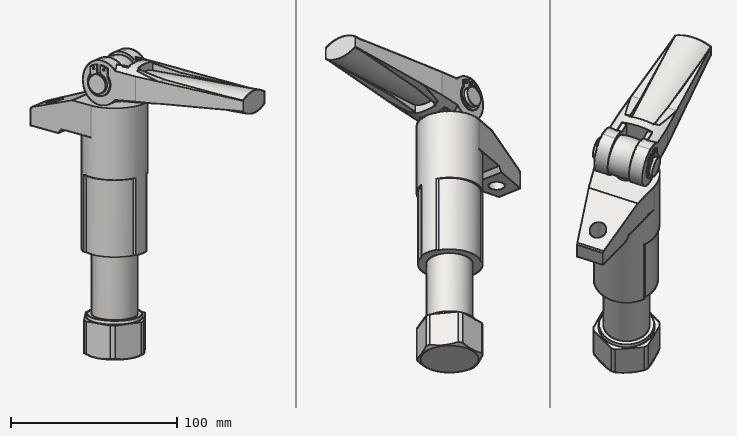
import cadquery as cq
import math


sleeve_radius = 20.0
sleeve_bottom = -93.3
nose_x = -55.0
nose_half_width = 8.5
nose_bottom = -23.0
nose_top = -11.7
nose_edge_chamfer = 0.8
arm_bottom = -20.0
heel_start_x = -31.7
heel_end_x = -29.0
nose_hole_x = -43.0
nose_hole_diameter = 10.0

relief_top = -45.0
relief_radius = 19.1
relief_axis_angle = -71.0
relief_wall_y = -16.4
relief_wall_angle = 109.0
relief_reach = 30.0

cam_radius = 14.0
cam_reduced_radius = 12.7
lever_half_width = 15.7
slot_half_width = 7.0
slot_end_x = 16.0
pivot_z = cam_radius

arm_start_x = 8.0
arm_bend_x = 25.2
lever_end_x = 100.0
lever_end_half_width = 11.75
crown_radius = 35.0
crown_height_at_pivot = 13.45
crown_slope = 0.08
facet_start_x = 23.3
facet_start_height = 9.9
facet_bend_x = 41.3
facet_bend_height = 6.9
facet_end_height = 3.3
ledge_half_width = 10.0
ledge_height = 10.5

grip_start_x = 22.1
grip_start_half_width = 8.0
grip_height = 7.0
grip_radius = 22.7

pin_radius = 6.1
pin_half_length = 19.5
eye_radius = 12.7
eye_edge_radius = 12.1
stem_radius = 6.2
rod_radius = 14.0
nut_bottom = -158.0
nut_top = -136.0
nut_across_flats = 36.0
nut_corner_radius = 20.0
nut_bottom_radius = 17.4
nut_chamfer_angle = 30.0
collar_top = -134.0
collar_base_radius = 17.0
collar_top_radius = 16.5

ring_radius = 7.9
ring_thickness = 1.1
ring_gap_half_width = 1.2
ear_half_width = 6.0
ear_reach = 11.6
ear_hole_x = 3.6
ear_hole_height = 9.0
ear_hole_diameter = 1.2
front_ring_face = -16.5
back_ring_face = lever_half_width


def slab(outline, y_from, y_to):
    """Extrude an outline drawn in XZ between two Y positions."""
    return outline.extrude(y_to - y_from).translate((0, y_to, 0))


def cylinder_y(radius, y_from, y_to):
    """Cylinder around the pivot axis."""
    return slab(cq.Workplane("XZ").center(0, pivot_z).circle(radius), y_from, y_to)


def cylinder_z(radius, z_from, z_to):
    return cq.Workplane("XY").workplane(offset=z_from).circle(radius).extrude(z_to - z_from)


def both_sides(points):
    """Close a half outline given above the X axis with its mirror image below."""
    return points + [(x, -y) for x, y in reversed(points)]


def hook_arm():
    corner_distance = math.hypot(nose_x, nose_half_width)
    tangent_angle = math.atan2(nose_half_width, nose_x) - math.acos(sleeve_radius / corner_distance)
    tangent_x = sleeve_radius * math.cos(tangent_angle)
    tangent_y = sleeve_radius * math.sin(tangent_angle)
    plan = cq.Workplane("XY").workplane(offset=nose_bottom)
    plan = plan.polyline(both_sides([(nose_x, nose_half_width), (tangent_x, tangent_y)])).close()
    plan = plan.extrude(-nose_bottom)

    top_slope = nose_top / (nose_x + sleeve_radius)
    nose_inner_x = nose_x + nose_edge_chamfer
    side = cq.Workplane("XZ").polyline([
        (tangent_x, 0),
        (-sleeve_radius, 0),
        (nose_inner_x, top_slope * (nose_inner_x + sleeve_radius)),
        (nose_x, nose_top - nose_edge_chamfer),
        (nose_x, nose_bottom),
        (heel_start_x, nose_bottom),
        (heel_end_x, arm_bottom),
        (tangent_x, arm_bottom),
    ]).close()
    return plan.intersect(slab(side, -sleeve_radius, sleeve_radius))


def sleeve_relief():
    """Shallow relief on the -Y side, bounded by two walls leaning away from its axis."""
    axis = math.radians(relief_axis_angle)
    lean = math.radians(relief_wall_angle)
    apex_distance = relief_wall_y / math.sin(axis)
    apex = (apex_distance * math.cos(axis), relief_wall_y)

    def from_apex(angle):
        return (apex[0] + relief_reach * math.cos(angle), apex[1] + relief_reach * math.sin(angle))

    corner_swing = lean / 2
    outline = [
        apex,
        from_apex(axis - lean),
        from_apex(axis - corner_swing),
        from_apex(axis + corner_swing),
        from_apex(axis + lean),
    ]
    height = relief_top - sleeve_bottom
    sector = cq.Workplane("XY").workplane(offset=sleeve_bottom).polyline(outline).close().extrude(height)
    return sector.cut(cylinder_z(relief_radius, sleeve_bottom, relief_top))


def make_hook():
    body = cylinder_z(sleeve_radius, sleeve_bottom, 0).union(hook_arm())
    relief = sleeve_relief()
    body = body.cut(relief).cut(relief.mirror("XZ"))
    body = body.cut(cylinder_z(stem_radius, sleeve_bottom, 0))
    nose_hole = cylinder_z(nose_hole_diameter / 2, nose_bottom, 0).translate((nose_hole_x, 0, 0))
    return body.cut(nose_hole)


def cam_lobes():
    """Round towards the arm, reduced to a half ellipse on the free side."""
    round_half = cylinder_y(cam_radius, -lever_half_width, lever_half_width)
    ellipse = cq.Workplane("XZ").center(0, pivot_z).ellipse(cam_reduced_radius, cam_radius)
    reduced_half = slab(ellipse, -lever_half_width, lever_half_width)
    keep = cq.Workplane("XY").box(cam_radius, 2 * lever_half_width, 2 * cam_radius)
    keep = keep.translate((cam_radius / 2, 0, pivot_z))
    return round_half.intersect(keep).union(reduced_half.cut(keep))


def crown_cylinder():
    """Large cylinder whose upper line falls slowly towards the lever end."""
    length = 2 * lever_end_x
    cylinder = cq.Workplane("YZ").circle(crown_radius).extrude(length).translate((-length / 2, 0, 0))
    tilt = math.degrees(math.atan(crown_slope))
    cylinder = cylinder.rotate((0, 0, 0), (0, 1, 0), tilt)
    return cylinder.translate((0, 0, pivot_z + crown_height_at_pivot - crown_radius))


def mirrored_at_pivot(solid):
    return solid.mirror("XY", (0, 0, pivot_z))


def arm_blank():
    plan = cq.Workplane("XY").polyline(both_sides([
        (arm_start_x, lever_half_width),
        (arm_bend_x, lever_half_width),
        (lever_end_x, lever_end_half_width),
    ])).close().extrude(2 * cam_radius)
    side = cq.Workplane("XZ").center(0, pivot_z).polyline(both_sides([
        (arm_start_x, cam_radius),
        (facet_start_x, cam_radius),
        (facet_start_x, facet_start_height),
        (facet_bend_x, facet_bend_height),
        (lever_end_x, facet_end_height),
    ])).close()
    crown = crown_cylinder()
    blank = plan.intersect(slab(side, -lever_half_width, lever_half_width))
    return blank.intersect(crown).intersect(mirrored_at_pivot(crown))


def arm_with_ledges():
    """Lower the arm to flat ledges beside the fork slot."""
    ledge_depth = cam_radius - ledge_height
    notch = cq.Workplane("XY").box(slot_end_x, 2 * ledge_half_width, ledge_depth)
    notch = notch.translate((slot_end_x / 2, 0, pivot_z + ledge_height + ledge_depth / 2))
    return arm_blank().cut(notch).cut(mirrored_at_pivot(notch))


def grip():
    """Return the zone taken by the grip and the grip, convex above and below."""
    zone = cq.Workplane("XY").polyline(both_sides([
        (grip_start_x, grip_start_half_width),
        (lever_end_x, lever_end_half_width),
    ])).close().extrude(2 * cam_radius)
    barrel = cq.Workplane("YZ").circle(grip_radius).extrude(lever_end_x)
    barrel = barrel.translate((0, 0, pivot_z + grip_height - grip_radius))
    return zone, zone.intersect(barrel).intersect(mirrored_at_pivot(barrel))


def make_lever():
    grip_zone, grip_core = grip()
    arm = arm_with_ledges().cut(grip_zone).union(grip_core)
    slot_length = cam_radius + slot_end_x
    slot = cq.Workplane("XY").box(slot_length, 2 * slot_half_width, 2 * cam_radius)
    slot = slot.translate((slot_end_x - slot_length / 2, 0, pivot_z))
    lever = cam_lobes().union(arm).cut(slot)
    return lever.cut(cylinder_y(pin_radius, -lever_half_width, lever_half_width))


def bolt_eye():
    """Barrel around the pivot with a bulged rim."""
    profile = (
        cq.Workplane("XY")
        .moveTo(0, -slot_half_width)
        .lineTo(eye_edge_radius, -slot_half_width)
        .threePointArc((eye_radius, 0), (eye_edge_radius, slot_half_width))
        .lineTo(0, slot_half_width)
        .close()
    )
    return profile.revolve(360, (0, 0, 0), (0, 1, 0)).translate((0, 0, pivot_z))


def retaining_ring(y_from):
    """Open ring with two drilled ears pointing up."""
    y_to = y_from + ring_thickness
    ears = cylinder_y(ear_reach, y_from, y_to)
    ear_zone = cq.Workplane("XY").box(2 * ear_half_width, 2 * pin_half_length, ear_reach)
    ears = ears.intersect(ear_zone.translate((0, 0, pivot_z + ear_reach / 2)))
    gap = cq.Workplane("XY").box(2 * ring_gap_half_width, 2 * pin_half_length, ear_reach)
    gap = gap.translate((0, 0, pivot_z + ear_reach / 2))
    ring = cylinder_y(ring_radius, y_from, y_to).union(ears).cut(gap)
    for hole_x in (-ear_hole_x, ear_hole_x):
        hole = cylinder_y(ear_hole_diameter / 2, y_from, y_to)
        ring = ring.cut(hole.translate((hole_x, 0, ear_hole_height)))
    return ring


def hex_nut():
    """Hexagon with rounded corners, chamfered below, with a tapered collar on top."""
    corner_diameter = nut_across_flats / math.cos(math.pi / 6)
    height = nut_top - nut_bottom
    hexagon = cq.Workplane("XY").workplane(offset=nut_bottom).polygon(6, corner_diameter).extrude(height)
    chamfer_height = (nut_corner_radius - nut_bottom_radius) * math.tan(math.radians(nut_chamfer_angle))
    envelope = cq.Workplane("XZ").polyline([
        (0, nut_bottom),
        (nut_bottom_radius, nut_bottom),
        (nut_corner_radius, nut_bottom + chamfer_height),
        (nut_corner_radius, nut_top),
        (0, nut_top),
    ]).close().revolve(360, (0, 0, 0), (0, 1, 0))
    collar = cq.Workplane("XZ").polyline([
        (0, nut_top),
        (collar_base_radius, nut_top),
        (collar_top_radius, collar_top),
        (0, collar_top),
    ]).close().revolve(360, (0, 0, 0), (0, 1, 0))
    return hexagon.intersect(envelope).union(collar)


def make_draw_bolt():
    bolt = bolt_eye().union(cylinder_z(stem_radius, sleeve_bottom, pivot_z))
    bolt = bolt.union(cylinder_z(rod_radius, collar_top, sleeve_bottom)).union(hex_nut())
    bolt = bolt.union(cylinder_y(pin_radius, -pin_half_length, pin_half_length))
    bolt = bolt.union(retaining_ring(front_ring_face - ring_thickness))
    return bolt.union(retaining_ring(back_ring_face))


hook = make_hook()
draw_bolt = make_draw_bolt()
lever = make_lever()

bodies = [hook, lever, draw_bolt]
result = cq.Compound.makeCompound([body.solids().val() for body in bodies])